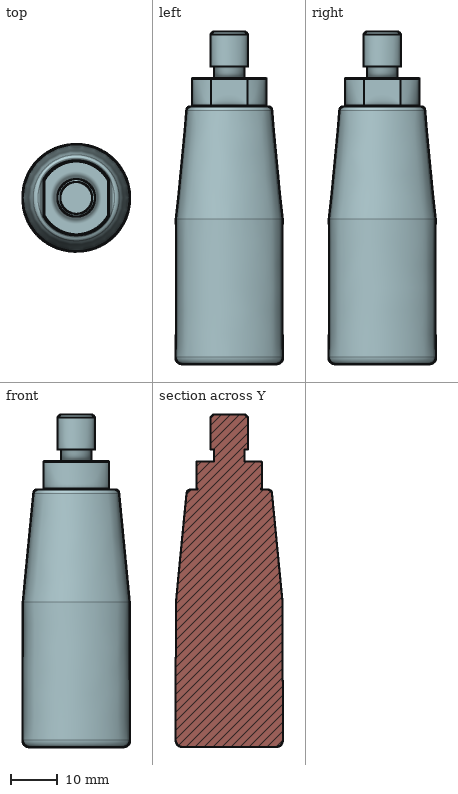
import cadquery as cq

total_height = 71.0
joint_height = 30.95
grip_height = 55.0
collar_top = 61.05
thread_start = 63.5

base_diameter = 23.0
joint_diameter = 22.85
grip_top_diameter = 18.2
bottom_fillet = 1.55
top_fillet = 1.0

collar_diameter = 16.0
across_flats = 14.0
collar_chamfer = 0.2

stud_diameter = 8.0
neck_diameter = 6.6
stud_chamfer = 0.6


def cylinder(diameter, bottom, top):
    """Upright cylinder on the Z axis between two heights."""
    return cq.Workplane("XY").workplane(offset=bottom).circle(diameter / 2).extrude(top - bottom)


def make_grip():
    """Revolved handle with rounded ends."""
    base_radius = base_diameter / 2
    profile = (
        cq.Workplane("XZ")
        .lineTo(base_radius - bottom_fillet, 0)
        .radiusArc((base_radius, bottom_fillet), -bottom_fillet)
        .lineTo(joint_diameter / 2, joint_height)
        .lineTo(grip_top_diameter / 2, grip_height)
        .lineTo(0, grip_height)
        .close()
    )
    grip = profile.revolve(360, (0, 0, 0), (0, 1, 0))
    return grip.faces(">Z").edges().fillet(top_fillet)


def make_collar():
    """Round collar cut to two parallel flats, with broken top and bottom edges."""
    collar_height = collar_top - grip_height
    flats = (
        cq.Workplane("XY")
        .workplane(offset=grip_height)
        .rect(across_flats, collar_diameter)
        .extrude(collar_height)
    )
    collar = cylinder(collar_diameter, grip_height, collar_top).intersect(flats)
    return collar.faces("<Z or >Z").edges().chamfer(collar_chamfer)


def make_stud():
    """Neck and stud with a chamfered tip."""
    neck = cylinder(neck_diameter, collar_top, thread_start)
    stud = cylinder(stud_diameter, thread_start, total_height)
    return neck.union(stud.faces(">Z").edges().chamfer(stud_chamfer))


result = make_grip().union(make_collar()).union(make_stud())